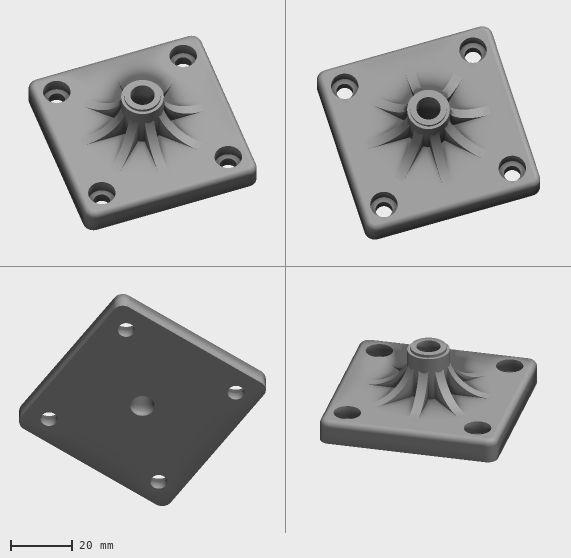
import cadquery as cq

plate_side = 60.0
plate_height = 8.0
plate_corner_radius = 3.5
plate_edge_fillet = 2.0

total_height = 24.0
hub_diameter = 14.0
lip_diameter = 12.0
lip_height = 1.0
bore_diameter = 8.0
hub_top = total_height - lip_height

rib_count = 8
rib_width = 3.25
rib_reach = 21.0
rib_arc_radius = hub_top - plate_height

mount_spacing = 44.0
mount_hole_diameter = 5.5
counterbore_diameter = 9.0
counterbore_depth = 4.5


def make_plate():
    """Square plate with rounded corners and a rounded upper edge."""
    plate = cq.Workplane("XY").rect(plate_side, plate_side).extrude(plate_height)
    plate = plate.edges("|Z").fillet(plate_corner_radius)
    return plate.faces(">Z").edges().fillet(plate_edge_fillet)


def make_hub():
    """Upright cylinder carrying a slightly narrower lip."""
    hub = cq.Workplane("XY").circle(hub_diameter / 2).extrude(hub_top)
    lip = cq.Workplane("XY").circle(lip_diameter / 2).extrude(total_height)
    return hub.union(lip)


def make_rib():
    """Rib along +X whose concave top runs tangentially into the plate."""
    block = (
        cq.Workplane("XZ")
        .rect(rib_reach, hub_top, centered=False)
        .extrude(rib_width / 2, both=True)
    )
    hollow = (
        cq.Workplane("XZ")
        .center(rib_reach, hub_top)
        .circle(rib_arc_radius)
        .extrude(rib_width, both=True)
    )
    return block.cut(hollow)


def make_mount_cylinders(diameter, bottom):
    """One cylinder per mounting position, from the given height to the plate top."""
    return (
        cq.Workplane("XY", origin=(0, 0, bottom))
        .rect(mount_spacing, mount_spacing, forConstruction=True)
        .vertices()
        .circle(diameter / 2)
        .extrude(plate_height - bottom)
    )


result = make_plate().union(make_hub())

rib = make_rib()
for index in range(rib_count):
    angle = index * 360.0 / rib_count
    result = result.union(rib.rotate((0, 0, 0), (0, 0, 1), angle))

result = result.cut(cq.Workplane("XY").circle(bore_diameter / 2).extrude(total_height))

result = result.cut(make_mount_cylinders(mount_hole_diameter, 0))
result = result.cut(make_mount_cylinders(counterbore_diameter, plate_height - counterbore_depth))